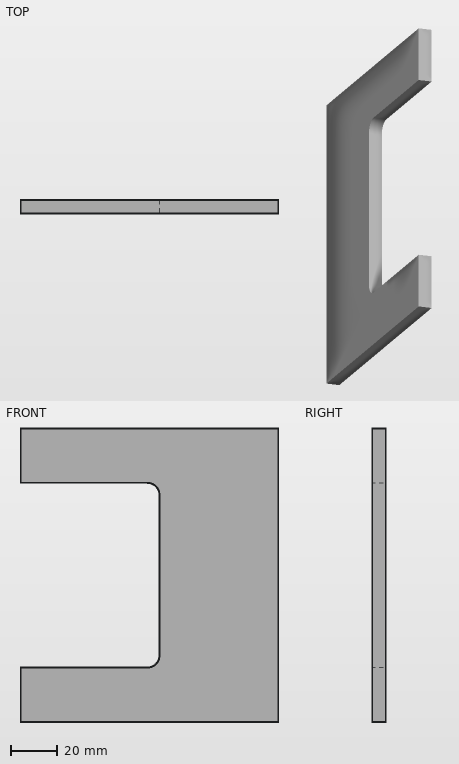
import cadquery as cq

width = 111.0
thickness = 6.0
height = 126.5

arm_height = 23.5
notch_depth = 59.7
notch_corner_radius = 5.0
notch_height = height - 2 * arm_height


def make_plate():
    return cq.Workplane("XY").box(width, thickness, height)


def make_notch():
    """Cutter reaching in from the -X side, with rounded inner corners."""
    return (
        cq.Workplane("XY")
        .box(notch_depth, thickness, notch_height)
        .edges("|Y and >X")
        .fillet(notch_corner_radius)
        .translate(((notch_depth - width) / 2, 0, 0))
    )


result = make_plate().cut(make_notch())